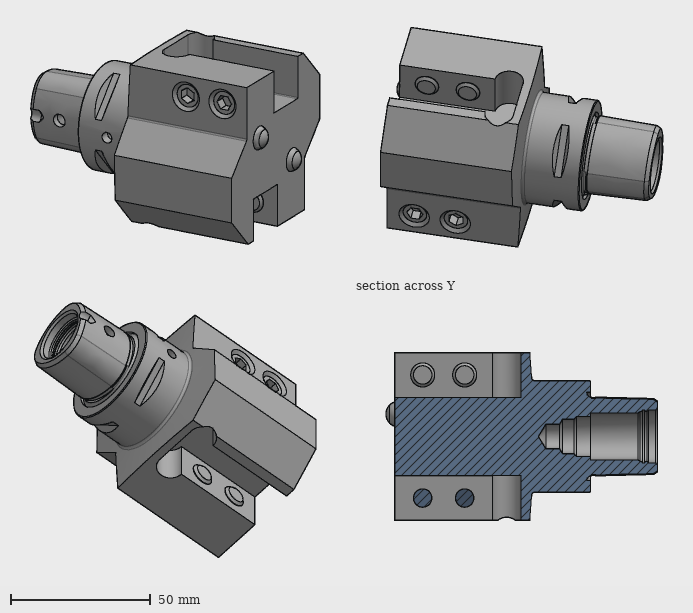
import cadquery as cq
import math


SHANK_LENGTH = 24.0
SHANK_TIP_RADIUS = 14.92
SHANK_FLAT_RADIUS = 13.33
SHANK_LARGE_END_X = -1.7
SHANK_TAPER = 1 / 40
LEAD_LENGTH = 1.55
LEAD_DEPTH = 1.0

NECK_INSET = 0.25
NECK_RADIUS = 14.1
NECK_START_X = -1.2
NECK_FLARE_X = -0.35
RECESS_RADIUS = 15.75
NECK_BURIED_X = 3.0

MOUTH_RADIUS = 10.3
MOUTH_CHAMFER_LENGTH = 0.8
COLLET_RADIUS = 9.4
COLLET_END_X = -20.65
STEP_RADIUS = 8.9
STEP_LENGTH = 0.5
UNDERCUT_START_X = -19.3
UNDERCUT_WIDTH = 0.8
UNDERCUT_RADIUS = 9.4
SEAT_START_X = -17.0
SEAT_CONE_LENGTH = 0.7
SEAT_RADIUS = 8.35
LEDGE_X = 0.0
BORE_RADIUS = 7.1
BORE_END_X = 5.0
PILOT_RADIUS = 6.15
PILOT_END_X = 10.0
CORE_RADIUS = 4.35
CORE_END_X = 16.0
DRILL_HALF_ANGLE = math.radians(59)

SHANK_HOLE_RADIUS = 2.4
SHANK_HOLE_X = -11.5
SHANK_HOLE_FLOOR_Y = -10.2
KEY_NOTCH_RADIUS = 2.4
KEY_NOTCH_LENGTH = 4.0
KEY_NOTCH_Y = -13.4
FLANGE_HOLE_RADIUS = 2.0
FLANGE_HOLE_X = 12.0
FLANGE_HOLE_FLOOR_Y = -16.0

FLANGE_RADIUS = 20.0
FLANGE_LENGTH = 20.0
FLANGE_CHAMFER = 0.35
FLANGE_ROOT_FILLET = 1.0
FLANGE_OVERLAP = 2.0
GRIP_X = 8.0
GRIP_FLOOR_DISTANCE = 17.65
GRIP_FLOOR_WIDTH = 2.5
GRIP_HALF_ANGLE = math.radians(31)

BLOCK_END_X = 70.0
BLOCK_HALF_HEIGHT = 30.0
BLOCK_HALF_WIDTH = 32.0
BLOCK_CHAMFER = 12.0
NOTCH_Y = 21.0
NOTCH_CORNER_Z = 10.0
NOTCH_FILLET = 1.0
BACK_CONE_SLOPE = math.tan(math.radians(4.25))
BACK_CONE_APEX_X = FLANGE_LENGTH + FLANGE_ROOT_FILLET - (FLANGE_RADIUS + FLANGE_ROOT_FILLET) * BACK_CONE_SLOPE

SLOT_FLOOR_Z = 14.0
SLOT_SEAT_Y = 16.0
SLOT_CLAMP_Y = -1.2
SLOT_RELIEF_RADIUS = 5.1
SLOT_RELIEF_X = 30.0
SLOT_CORNER_FILLET = 0.35

SCREW_RADIUS = 4.3
SCREW_Z = 22.0
SCREW_XS = (45.0, 60.0)
SCREW_HEX_TURNS = (30.0, 0.0)
SCREW_TIP_Y = 0.0
SCREW_TIP_CHAMFER = 1.0
SCREW_COUNTERSINK = 1.25
SOCKET_FLATS = 5.1
SOCKET_DEPTH = 4.0

BALL_RADIUS = 4.6
BALL_CENTRE_DEPTH = 1.4
BALL_PROTRUSION = 1.8
BALL_Y = -12.0
BALL_Z = 8.0


def half_turn(body):
    """Turn a body half way round the tool axis."""
    return body.rotate((0, 0, 0), (1, 0, 0), 180)


def revolve_about_x(sketch):
    return sketch.close().revolve(360, (0, 0, 0), (1, 0, 0))


def polar(radius, degrees):
    angle = math.radians(degrees)
    return radius * math.cos(angle), radius * math.sin(angle)


def polygon_section(x, inset):
    """Three-lobed outline of tangent arcs at station x, one lobe pointing to +Y."""
    tip = SHANK_TIP_RADIUS - inset
    flat = SHANK_FLAT_RADIUS - inset
    centre_distance = (tip - flat) / (2 - math.sqrt(3))
    lobe_radius = tip - centre_distance

    def tangent_point(lobe_angle, side):
        centre_y, centre_z = polar(centre_distance, lobe_angle)
        step_y, step_z = polar(lobe_radius, lobe_angle + side * 30)
        return centre_y + step_y, centre_z + step_z

    outline = cq.Workplane("YZ", origin=(x, 0, 0)).moveTo(*tangent_point(0, -1))
    for lobe_angle in (0, 120, 240):
        outline = outline.threePointArc(polar(tip, lobe_angle), tangent_point(lobe_angle, 1))
        next_start = tangent_point(lobe_angle + 120, -1)
        outline = outline.threePointArc(polar(flat, lobe_angle + 60), next_start)
    return outline.wire().val()


def make_shank():
    """Lead-in chamfer, tapered polygon and the slightly smaller neck behind it."""
    free_end_x = -SHANK_LENGTH
    lead_x = free_end_x + LEAD_LENGTH
    taper_inset = (SHANK_LARGE_END_X - lead_x) * SHANK_TAPER

    free_end = polygon_section(free_end_x, taper_inset + LEAD_DEPTH)
    lead_edge = polygon_section(lead_x, taper_inset)
    large_end = polygon_section(SHANK_LARGE_END_X, 0)
    neck_start = polygon_section(SHANK_LARGE_END_X, NECK_INSET)
    neck_end = polygon_section(NECK_BURIED_X, NECK_INSET)
    lead = cq.Workplane(cq.Solid.makeLoft([free_end, lead_edge], True))
    taper = cq.Workplane(cq.Solid.makeLoft([lead_edge, large_end], True))
    neck = cq.Workplane(cq.Solid.makeLoft([neck_start, neck_end], True))
    return lead.union(taper).union(neck)


def make_flange():
    """Flange with a front chamfer, a root fillet and a collar that carries the neck flare."""
    fillet_end_x = FLANGE_LENGTH + FLANGE_ROOT_FILLET
    fillet_end_radius = FLANGE_RADIUS + FLANGE_ROOT_FILLET
    diagonal = FLANGE_ROOT_FILLET * math.sqrt(0.5)
    fillet_middle = (FLANGE_LENGTH + diagonal, fillet_end_radius - diagonal)
    profile = (
        cq.Workplane("XY")
        .moveTo(NECK_FLARE_X, 0)
        .lineTo(NECK_FLARE_X, RECESS_RADIUS)
        .lineTo(0, RECESS_RADIUS)
        .lineTo(0, FLANGE_RADIUS - FLANGE_CHAMFER)
        .lineTo(FLANGE_CHAMFER, FLANGE_RADIUS)
        .lineTo(FLANGE_LENGTH, FLANGE_RADIUS)
        .threePointArc(fillet_middle, (fillet_end_x, fillet_end_radius))
        .lineTo(fillet_end_x + FLANGE_OVERLAP, fillet_end_radius)
        .lineTo(fillet_end_x + FLANGE_OVERLAP, 0)
    )
    return revolve_about_x(profile)


def neck_cutter():
    """Ring that rounds the lobes of the neck and flares out into a recess in the flange face."""
    flare_radius = RECESS_RADIUS - NECK_RADIUS
    diagonal = flare_radius * math.sqrt(0.5)
    profile = (
        cq.Workplane("XY")
        .moveTo(NECK_START_X, NECK_RADIUS)
        .lineTo(NECK_FLARE_X, NECK_RADIUS)
        .threePointArc(
            (NECK_FLARE_X + diagonal, RECESS_RADIUS - diagonal),
            (NECK_FLARE_X + flare_radius, RECESS_RADIUS),
        )
        .lineTo(NECK_START_X, RECESS_RADIUS)
    )
    return revolve_about_x(profile)


def bore_cutter():
    """Stepped bore from the free end of the shank, ending in drill cones."""
    step_cone = (PILOT_RADIUS - CORE_RADIUS) / math.tan(DRILL_HALF_ANGLE)
    tip_cone = CORE_RADIUS / math.tan(DRILL_HALF_ANGLE)
    entry_cone = BORE_RADIUS - PILOT_RADIUS
    profile = cq.Workplane("XY").polyline([
        (-SHANK_LENGTH, 0),
        (-SHANK_LENGTH, MOUTH_RADIUS),
        (-SHANK_LENGTH + MOUTH_CHAMFER_LENGTH, COLLET_RADIUS),
        (COLLET_END_X, COLLET_RADIUS),
        (COLLET_END_X + STEP_LENGTH, STEP_RADIUS),
        (UNDERCUT_START_X, STEP_RADIUS),
        (UNDERCUT_START_X, UNDERCUT_RADIUS),
        (UNDERCUT_START_X + UNDERCUT_WIDTH, UNDERCUT_RADIUS),
        (UNDERCUT_START_X + UNDERCUT_WIDTH, STEP_RADIUS),
        (SEAT_START_X - SEAT_CONE_LENGTH, STEP_RADIUS),
        (SEAT_START_X, SEAT_RADIUS),
        (LEDGE_X, SEAT_RADIUS),
        (LEDGE_X, BORE_RADIUS),
        (BORE_END_X, BORE_RADIUS),
        (BORE_END_X + entry_cone, PILOT_RADIUS),
        (PILOT_END_X, PILOT_RADIUS),
        (PILOT_END_X + step_cone, CORE_RADIUS),
        (CORE_END_X, CORE_RADIUS),
        (CORE_END_X + tip_cone, 0),
    ])
    return revolve_about_x(profile)


def drill(radius, start, direction, depth, half_angle):
    """Cylindrical hole with a conical bottom beyond its full-diameter depth."""
    start = cq.Vector(*start)
    direction = cq.Vector(*direction)
    barrel = cq.Solid.makeCylinder(radius, depth, start, direction)
    floor = start + direction * depth
    tip = cq.Solid.makeCone(radius, 0, radius / math.tan(half_angle), floor, direction)
    return cq.Workplane(barrel).union(cq.Workplane(tip))


def shank_hole_cutters():
    start_y = -BLOCK_HALF_WIDTH
    shank_hole = drill(
        SHANK_HOLE_RADIUS, (SHANK_HOLE_X, start_y, 0), (0, 1, 0),
        SHANK_HOLE_FLOOR_Y - start_y, DRILL_HALF_ANGLE,
    )
    flange_hole = drill(
        FLANGE_HOLE_RADIUS, (FLANGE_HOLE_X, start_y, 0), (0, 1, 0),
        FLANGE_HOLE_FLOOR_Y - start_y, DRILL_HALF_ANGLE,
    )
    key_notch = drill(
        KEY_NOTCH_RADIUS, (-SHANK_LENGTH, KEY_NOTCH_Y, 0), (1, 0, 0),
        KEY_NOTCH_LENGTH, math.radians(45),
    )
    return [shank_hole, flange_hole, key_notch]


def grip_groove_cutter(angle):
    """Straight trapezoid groove across the flange, at an angle round the axis."""
    depth = FLANGE_RADIUS - GRIP_FLOOR_DISTANCE
    floor_half = GRIP_FLOOR_WIDTH / 2
    top_half = floor_half + depth * math.tan(GRIP_HALF_ANGLE)
    groove = (
        cq.Workplane("XZ")
        .polyline([
            (GRIP_X - floor_half, GRIP_FLOOR_DISTANCE),
            (GRIP_X + floor_half, GRIP_FLOOR_DISTANCE),
            (GRIP_X + top_half, FLANGE_RADIUS),
            (GRIP_X - top_half, FLANGE_RADIUS),
        ])
        .close()
        .extrude(FLANGE_RADIUS / 2, both=True)
    )
    return groove.rotate((0, 0, 0), (1, 0, 0), angle)


def make_block():
    """Prism that repeats after a half turn, with a shallow cone on its back face."""
    half_outline = [
        (-NOTCH_Y, BLOCK_HALF_HEIGHT),
        (BLOCK_HALF_WIDTH - BLOCK_CHAMFER, BLOCK_HALF_HEIGHT),
        (BLOCK_HALF_WIDTH, BLOCK_HALF_HEIGHT - BLOCK_CHAMFER),
        (BLOCK_HALF_WIDTH, BLOCK_HALF_WIDTH - NOTCH_Y - NOTCH_CORNER_Z),
        (NOTCH_Y, -NOTCH_CORNER_Z),
    ]
    outline = half_outline + [(-y, -z) for y, z in half_outline]
    block = (
        cq.Workplane("YZ", origin=(BACK_CONE_APEX_X, 0, 0))
        .polyline(outline)
        .close()
        .extrude(BLOCK_END_X - BACK_CONE_APEX_X)
    )
    for side in (1, -1):
        corner_point = (BLOCK_END_X / 2, side * NOTCH_Y, -side * NOTCH_CORNER_Z)
        corner = cq.selectors.NearestToPointSelector(corner_point)
        block = block.edges("|X").edges(corner).fillet(NOTCH_FILLET)

    reach = 2 * BLOCK_HALF_WIDTH
    back_profile = cq.Workplane("XY").polyline([
        (BACK_CONE_APEX_X, 0),
        (BACK_CONE_APEX_X + reach * BACK_CONE_SLOPE, reach),
        (BACK_CONE_APEX_X, reach),
    ])
    return block.cut(revolve_about_x(back_profile))


def slot_cutter():
    """Tool slot open to the top and the end face, with a rounded relief at its closed end."""
    height = BLOCK_HALF_HEIGHT - SLOT_FLOOR_Z
    width = SLOT_SEAT_Y - SLOT_CLAMP_Y
    middle_y = (SLOT_SEAT_Y + SLOT_CLAMP_Y) / 2
    length = BLOCK_END_X - SLOT_RELIEF_X
    channel = (
        cq.Workplane("XY", origin=(SLOT_RELIEF_X, middle_y, SLOT_FLOOR_Z))
        .box(length, width, height, centered=(False, True, False))
        .edges(">Y and <Z")
        .fillet(SLOT_CORNER_FILLET)
    )
    relief = (
        cq.Workplane("XY", origin=(SLOT_RELIEF_X, middle_y, SLOT_FLOOR_Z))
        .slot2D(width + 2 * SLOT_RELIEF_RADIUS, 2 * SLOT_RELIEF_RADIUS, 90)
        .extrude(height)
    )
    return channel.union(relief)


def screw_hole_cutter(x):
    """Countersunk hole from the notch wall through to the tool slot."""
    wall_y = -NOTCH_Y
    along_y = cq.Vector(0, 1, 0)
    entry = cq.Vector(x, wall_y, SCREW_Z)
    hole = cq.Solid.makeCylinder(SCREW_RADIUS, SLOT_CLAMP_Y - wall_y, entry, along_y)
    mouth_radius = SCREW_RADIUS + SCREW_COUNTERSINK
    countersink = cq.Solid.makeCone(mouth_radius, SCREW_RADIUS, SCREW_COUNTERSINK, entry, along_y)
    return cq.Workplane(hole).union(cq.Workplane(countersink))


def make_clamp_screw(x, hex_turn):
    """Set screw with a chamfered tip and a hexagon socket, flush with the countersink bottom."""
    head_y = -NOTCH_Y + SCREW_COUNTERSINK
    length = SCREW_TIP_Y - head_y
    socket_diameter = SOCKET_FLATS / math.cos(math.radians(30))
    screw = (
        cq.Workplane("XZ", origin=(x, head_y, SCREW_Z))
        .circle(SCREW_RADIUS)
        .extrude(-length)
        .faces(">Y")
        .chamfer(SCREW_TIP_CHAMFER)
    )
    socket = (
        cq.Workplane("XZ", origin=(x, head_y, SCREW_Z))
        .transformed(rotate=(0, 0, hex_turn))
        .polygon(6, socket_diameter)
        .extrude(-SOCKET_DEPTH)
    )
    return screw.cut(socket)


def make_coolant_ball():
    """Ball sunk in the end face, with its outer cap cut flat."""
    ball = cq.Workplane("XY", origin=(BLOCK_END_X - BALL_CENTRE_DEPTH, BALL_Y, BALL_Z)).sphere(BALL_RADIUS)
    size = 2 * BALL_RADIUS
    cap = (
        cq.Workplane("XY", origin=(BLOCK_END_X + BALL_PROTRUSION, BALL_Y, BALL_Z))
        .box(size, size, size, centered=(False, True, True))
    )
    return ball.cut(cap)


def make_housing(coolant_balls):
    housing = make_block().union(make_flange()).union(make_shank())
    cutters = [neck_cutter(), bore_cutter()]
    cutters += shank_hole_cutters()
    cutters += [grip_groove_cutter(angle) for angle in (45, 135, 225, 315)]
    side_cutters = [slot_cutter()] + [screw_hole_cutter(x) for x in SCREW_XS]
    for cutter in side_cutters:
        cutters += [cutter, half_turn(cutter)]
    for cutter in cutters + coolant_balls:
        housing = housing.cut(cutter)
    return housing


coolant_balls = [make_coolant_ball(), half_turn(make_coolant_ball())]

clamp_screws = []
for screw_x, turn in zip(SCREW_XS, SCREW_HEX_TURNS):
    clamp_screw = make_clamp_screw(screw_x, turn)
    clamp_screws += [clamp_screw, half_turn(clamp_screw)]

housing = make_housing(coolant_balls)

result = cq.Compound.makeCompound(
    [housing.val()]
    + [screw.val() for screw in clamp_screws]
    + [ball.val() for ball in coolant_balls]
)